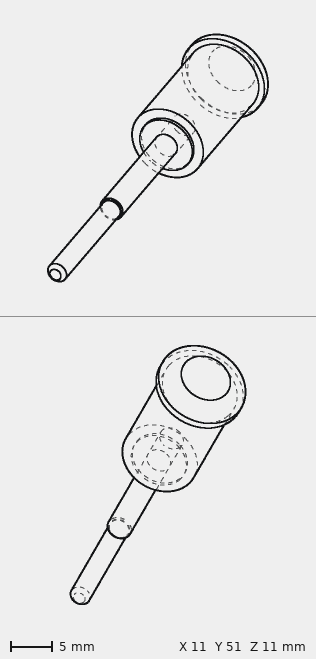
import cadquery as cq

total_length = 51.0
tip_y = -total_length / 2
crown_y = total_length / 2

head_diameter = 11.0
crown_flat_diameter = 6.2
crown_height = 1.5
crown_bulge = 0.2
rim_thickness = 1.05
barrel_diameter = 9.5
barrel_length = 16.0
boss_diameter = 7.0
boss_height = 0.45
bore_diameter = 3.0
bore_depth = 5.1

shank_diameter = bore_diameter
shank_exposed_length = 15.75
shoulder_chamfer = 0.15
tail_diameter = 2.5
tip_chamfer = 0.5

rim_top_y = crown_y - crown_height
rim_bottom_y = rim_top_y - rim_thickness
barrel_end_y = rim_bottom_y - barrel_length
boss_end_y = barrel_end_y - boss_height
bore_bottom_y = boss_end_y + bore_depth
shoulder_y = boss_end_y - shank_exposed_length


def turned(profile):
    """Revolve a closed (radius, y) profile about the Y axis."""
    return profile.close().revolve(360, (0, 0, 0), (0, 1, 0))


def make_housing():
    """Domed, flanged housing with a front boss and a blind bore that fits the pin."""
    head_radius = head_diameter / 2
    crown_radius = crown_flat_diameter / 2
    crown_run = head_radius - crown_radius
    chord = (crown_run**2 + crown_height**2) ** 0.5
    crown_middle = (
        (head_radius + crown_radius) / 2 + crown_bulge * crown_height / chord,
        (rim_top_y + crown_y) / 2 + crown_bulge * crown_run / chord,
    )
    profile = (
        cq.Workplane("XY")
        .moveTo(0, crown_y)
        .lineTo(crown_radius, crown_y)
        .threePointArc(crown_middle, (head_radius, rim_top_y))
        .lineTo(head_radius, rim_bottom_y)
        .lineTo(barrel_diameter / 2, rim_bottom_y)
        .lineTo(barrel_diameter / 2, barrel_end_y)
        .lineTo(boss_diameter / 2, barrel_end_y)
        .lineTo(boss_diameter / 2, boss_end_y)
        .lineTo(bore_diameter / 2, boss_end_y)
        .lineTo(bore_diameter / 2, bore_bottom_y)
        .lineTo(0, bore_bottom_y)
    )
    return turned(profile)


def make_pin():
    """Stepped pin seated on the bore bottom, with a chamfered shoulder and tip."""
    shank_radius = shank_diameter / 2
    tail_radius = tail_diameter / 2
    profile = (
        cq.Workplane("XY")
        .moveTo(0, bore_bottom_y)
        .lineTo(shank_radius, bore_bottom_y)
        .lineTo(shank_radius, shoulder_y)
        .lineTo(shank_radius - shoulder_chamfer, shoulder_y - shoulder_chamfer)
        .lineTo(tail_radius, shoulder_y - shoulder_chamfer)
        .lineTo(tail_radius, tip_y + tip_chamfer)
        .lineTo(tail_radius - tip_chamfer, tip_y)
        .lineTo(0, tip_y)
    )
    return turned(profile)


housing = make_housing()
pin = make_pin()

result = cq.Compound.makeCompound([housing.val(), pin.val()])